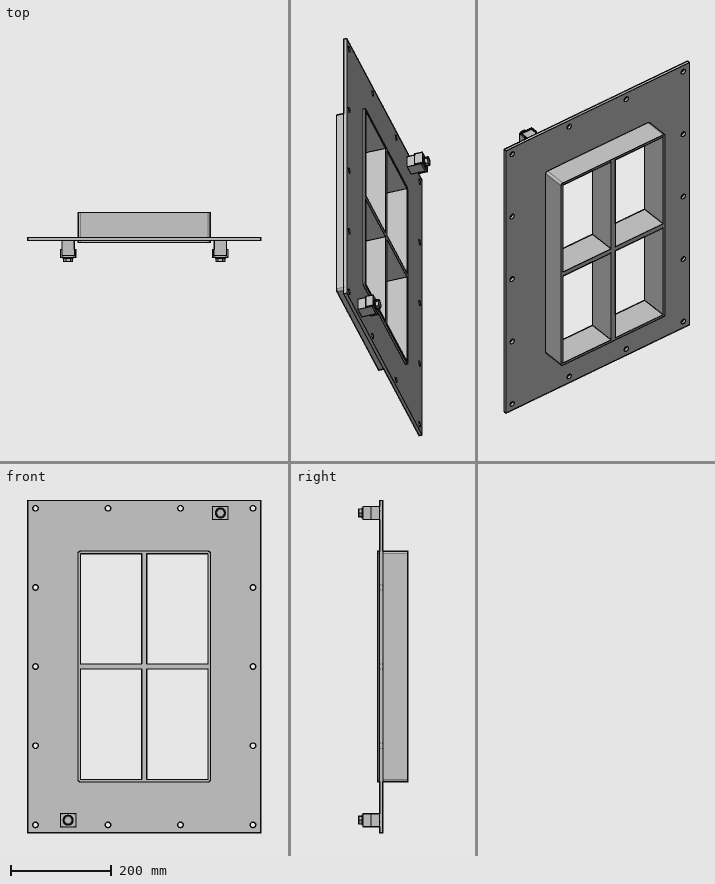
import cadquery as cq
import math

PLATE_WIDTH = 463.0
PLATE_HEIGHT = 660.0
PLATE_THICKNESS = 6.5

HOLE_DIAMETER = 10.5
HOLE_EDGE_DISTANCE = 16.0
HOLE_COLUMNS = 4
HOLE_ROWS = 5

WINDOWS_PER_SIDE = 2
WINDOW_WIDTH = 121.0
WINDOW_HEIGHT = 218.5
FRAME_WALL = 5.0
DIVIDER = 10.5
FRAME_CORNER_RADIUS = 4.5
FRAME_FRONT = -4.0
FRAME_BACK = 56.0
FRAME_WIDTH = WINDOWS_PER_SIDE * (WINDOW_WIDTH + DIVIDER) - DIVIDER + 2 * FRAME_WALL
FRAME_HEIGHT = WINDOWS_PER_SIDE * (WINDOW_HEIGHT + DIVIDER) - DIVIDER + 2 * FRAME_WALL

TERMINAL_X = 151.0
TERMINAL_Z = 305.0
BLOCK_WIDTH = 24.5
BLOCK_LENGTH = 30.0
TERMINAL_HEIGHT = 26.5
CLIP_WALL = 3.0
CLIP_LENGTH = 16.0
WASHER_DIAMETER = 20.0
WASHER_THICKNESS = 2.0
HEAD_SIDES = 6
HEAD_ACROSS_FLATS = 16.0
HEAD_LENGTH = 6.5
HEAD_CHAMFER_DIAMETER = 14.5
HEAD_CHAMFER_ANGLE = 15.0
SHANK_DIAMETER = 10.0
SHANK_LENGTH = 25.0

CLIP_FRONT = BLOCK_LENGTH + CLIP_WALL
WASHER_FRONT = CLIP_FRONT + WASHER_THICKNESS


def front_plane(y):
    """Plane at the given y, seen from the front: local x is X, local y is Z."""
    return cq.Workplane("XZ", origin=(0, y, 0))


def edge_hole_points():
    """Hole centres of the rectangular pattern that lie on its outline."""
    span_x = PLATE_WIDTH - 2 * HOLE_EDGE_DISTANCE
    span_z = PLATE_HEIGHT - 2 * HOLE_EDGE_DISTANCE
    points = []
    for column in range(HOLE_COLUMNS):
        for row in range(HOLE_ROWS):
            if column in (0, HOLE_COLUMNS - 1) or row in (0, HOLE_ROWS - 1):
                x = span_x * (column / (HOLE_COLUMNS - 1) - 0.5)
                z = span_z * (row / (HOLE_ROWS - 1) - 0.5)
                points.append((x, z))
    return points


def make_framed_plate():
    """Plate with its edge holes and the four-window frame welded into it."""
    plate = front_plane(0).rect(PLATE_WIDTH, PLATE_HEIGHT).extrude(-PLATE_THICKNESS)
    holes = (
        front_plane(0)
        .pushPoints(edge_hole_points())
        .circle(HOLE_DIAMETER / 2)
        .extrude(-PLATE_THICKNESS)
    )
    depth = FRAME_BACK - FRAME_FRONT
    frame = (
        front_plane(FRAME_FRONT)
        .rect(FRAME_WIDTH, FRAME_HEIGHT)
        .extrude(-depth)
        .edges("|Y")
        .fillet(FRAME_CORNER_RADIUS)
    )
    windows = (
        front_plane(FRAME_FRONT)
        .rarray(WINDOW_WIDTH + DIVIDER, WINDOW_HEIGHT + DIVIDER, WINDOWS_PER_SIDE, WINDOWS_PER_SIDE)
        .rect(WINDOW_WIDTH, WINDOW_HEIGHT)
        .extrude(-depth)
    )
    return plate.cut(holes).union(frame).cut(windows)


def make_shank():
    """Bolt shank, from the underside of the head back into the block."""
    return front_plane(-WASHER_FRONT).circle(SHANK_DIAMETER / 2).extrude(-SHANK_LENGTH)


def make_block_body():
    """Plain block standing on the plate, before its hole is made."""
    return front_plane(0).rect(BLOCK_WIDTH, TERMINAL_HEIGHT).extrude(BLOCK_LENGTH)


def make_block():
    """Terminal block standing on the plate, with a blind hole for the shank."""
    return make_block_body().cut(make_shank())


def make_clip():
    """U-shaped clip over the front end of the block, with legs on both sides."""
    clip = (
        front_plane(-CLIP_FRONT)
        .rect(BLOCK_WIDTH + 2 * CLIP_WALL, TERMINAL_HEIGHT)
        .extrude(-CLIP_LENGTH)
    )
    return clip.cut(make_block_body()).cut(make_shank())


def make_washer():
    """Flat washer between the clip and the bolt head."""
    return (
        front_plane(-CLIP_FRONT)
        .circle(WASHER_DIAMETER / 2)
        .circle(SHANK_DIAMETER / 2)
        .extrude(WASHER_THICKNESS)
    )


def make_bolt():
    """Hexagon bolt with corners at +X and -X, its head chamfered at the front."""
    across_corners = HEAD_ACROSS_FLATS / math.cos(math.pi / HEAD_SIDES)
    head = front_plane(-WASHER_FRONT).polygon(HEAD_SIDES, across_corners).extrude(HEAD_LENGTH)
    slope = math.tan(math.radians(HEAD_CHAMFER_ANGLE))
    chamfer_radius = HEAD_CHAMFER_DIAMETER / 2
    base_radius = chamfer_radius + HEAD_LENGTH / slope
    chamfer_cone = cq.Workplane(
        cq.Solid.makeCone(
            base_radius,
            chamfer_radius,
            HEAD_LENGTH,
            pnt=cq.Vector(0, -WASHER_FRONT, 0),
            dir=cq.Vector(0, -1, 0),
        )
    )
    return head.intersect(chamfer_cone).union(make_shank())


framed_plate = make_framed_plate()

terminal_parts = []
for side in (1, -1):
    place = cq.Vector(side * TERMINAL_X, 0, side * TERMINAL_Z)
    for make_part in (make_block, make_clip, make_washer, make_bolt):
        terminal_parts.append(make_part().translate(place).val())

result = cq.Compound.makeCompound([framed_plate.val(), *terminal_parts])